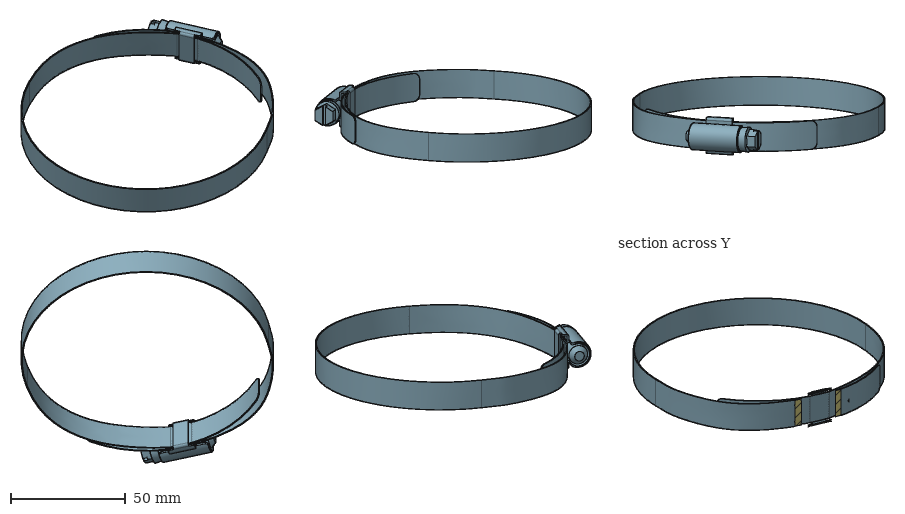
import cadquery as cq
import math


OVERALL_LENGTH_Y = 119.7

BAND_WIDTH = 12.7
BAND_THICKNESS = 0.54
RING_OUTER_DIAMETER = 109.1
RING_OUTER_RADIUS = RING_OUTER_DIAMETER / 2
RING_RADIUS = RING_OUTER_RADIUS - BAND_THICKNESS / 2
OVERLAP_RADIUS = 54.7
OVERLAP_END_ANGLE = 135.5
OVERLAP_START_ANGLE = 90
RING_START_ANGLE = 5
RING_END_ANGLE = -180
TAIL_FLAT_LENGTH = 9.6
TAIL_FLAT_Y = 53.5
TAIL_RADIUS = math.hypot(TAIL_FLAT_LENGTH / 2, TAIL_FLAT_Y)
TAIL_FLAT_HALF_ANGLE = math.degrees(math.atan2(TAIL_FLAT_LENGTH / 2, TAIL_FLAT_Y))
TAIL_FLAT_START_ANGLE = -270 + TAIL_FLAT_HALF_ANGLE
TAIL_FLAT_END_ANGLE = -270 - TAIL_FLAT_HALF_ANGLE
TAIL_END_ANGLE = -319.8
TAIL_APPROACH_SLOPE = 14
END_CORNER_RADIUS = 2.9
OUTER_BULGE = [(75, 55.2), (45, 57.1), (17, 55.2)]
INNER_DIP = [(-210, 54.8), (-231, 53.6), (-252, 52.8)]

SCREW_AXIS_Y = 59.3
HEAD_END_X = -19.0
HEX_ACROSS_FLATS = 8.1
SLOT_WIDTH = 1.4
SLOT_DEPTH = 2.0
COLLAR_FRONT_X = -15.2
COLLAR_RIM_X = -14.7
COLLAR_RADIUS = 5.5
COLLAR_BACK_RADIUS = 5.1
SHANK_RADIUS = 4.2
TIP_START_X = 11.4
TIP_END_X = 13.5
TIP_RADIUS = 2.2

HOUSING_LENGTH = 22.7
SHEET_THICKNESS = 0.8
DOME_TOP_Y = OVERALL_LENGTH_Y - RING_OUTER_RADIUS
DOME_RADIUS = DOME_TOP_Y - SCREW_AXIS_Y
DOME_EDGE_Y = 56.6
DOME_CORNER_RADIUS = 1.5
DOME_END_CHAMFER = 0.4
SADDLE_LENGTH = 12
SADDLE_TOP_Y = 56.4
SADDLE_HEIGHT_Z = 16.0
SADDLE_BEND_RADIUS = 1.1
SADDLE_SHOULDER_Y = 53.5
SADDLE_SHOULDER_RADIUS = 0.8
STRAP_LENGTH = 7.0
STRAP_BOTTOM_Y = 52.3


def polar(angle, radius):
    """X and Y of a place about the origin, its angle in degrees from +X."""
    turn = math.radians(angle)
    return (radius * math.cos(turn), radius * math.sin(turn))


def arc_edge(radius, start, end):
    """Arc about the origin, turning from start to end (degrees)."""
    places = [cq.Vector(*polar(angle, radius)) for angle in (start, (start + end) / 2, end)]
    return cq.Edge.makeThreePointArc(*places)


def flat_edge(radius, start, end):
    """Straight line between two places at the same radius."""
    return cq.Edge.makeLine(cq.Vector(*polar(start, radius)), cq.Vector(*polar(end, radius)))


def free_edge(places, start_heading, end_heading, offset):
    """Spline through (angle, radius) places, with its headings at both ends in degrees."""
    points = [cq.Vector(*polar(angle, radius + offset)) for angle, radius in places]
    tangents = [cq.Vector(*polar(heading, 1)) for heading in (start_heading, end_heading)]
    return cq.Edge.makeSpline(points, tangents=tangents)


def band_side(offset):
    """One face of the strip, at a distance from its mid-thickness, clockwise from overlap to tail."""
    bulge = [(OVERLAP_START_ANGLE, OVERLAP_RADIUS), *OUTER_BULGE, (RING_START_ANGLE, RING_RADIUS)]
    dip = [(RING_END_ANGLE, RING_RADIUS), *INNER_DIP, (TAIL_FLAT_START_ANGLE, TAIL_RADIUS)]
    return [
        arc_edge(OVERLAP_RADIUS + offset, OVERLAP_END_ANGLE, OVERLAP_START_ANGLE),
        free_edge(bulge, OVERLAP_START_ANGLE - 90, RING_START_ANGLE - 90, offset),
        arc_edge(RING_RADIUS + offset, RING_START_ANGLE, RING_END_ANGLE),
        free_edge(dip, RING_END_ANGLE - 90, TAIL_APPROACH_SLOPE, offset),
        flat_edge(TAIL_RADIUS + offset, TAIL_FLAT_START_ANGLE, TAIL_FLAT_END_ANGLE),
        arc_edge(TAIL_RADIUS + offset, TAIL_FLAT_END_ANGLE, TAIL_END_ANGLE),
    ]


def end_corners(angle, radius):
    """Selector for the corner edges of a strip end at this place."""
    x, y = polar(angle, radius)
    low = (x - BAND_THICKNESS, y - BAND_THICKNESS, -BAND_WIDTH)
    high = (x + BAND_THICKNESS, y + BAND_THICKNESS, BAND_WIDTH)
    return cq.selectors.BoxSelector(low, high, boundingbox=True)


def make_band():
    """Strip wound once around, its two ends overlapping under the screw."""
    outer = band_side(BAND_THICKNESS / 2)
    inner = band_side(-BAND_THICKNESS / 2)
    overlap_end = cq.Edge.makeLine(inner[0].startPoint(), outer[0].startPoint())
    tail_end = cq.Edge.makeLine(outer[-1].endPoint(), inner[-1].endPoint())
    outline = cq.Wire.assembleEdges([*outer, tail_end, *reversed(inner), overlap_end])
    sheet = cq.Solid.extrudeLinear(outline, [], cq.Vector(0, 0, BAND_WIDTH))
    strip = cq.Workplane(sheet.translate(cq.Vector(0, 0, -BAND_WIDTH / 2)))
    for angle, radius in ((OVERLAP_END_ANGLE, OVERLAP_RADIUS), (TAIL_END_ANGLE, TAIL_RADIUS)):
        strip = strip.edges(end_corners(angle, radius)).edges("not |Z").fillet(END_CORNER_RADIUS)
    return strip


def make_screw():
    """Slotted hexagon head, collar, plain shank and tapered tip."""
    shank_start_x = -HOUSING_LENGTH / 2
    profile = [
        (COLLAR_FRONT_X, 0),
        (COLLAR_FRONT_X, HEX_ACROSS_FLATS / 2),
        (COLLAR_RIM_X, COLLAR_RADIUS),
        (shank_start_x, COLLAR_BACK_RADIUS),
        (shank_start_x, SHANK_RADIUS),
        (TIP_START_X, SHANK_RADIUS),
        (TIP_END_X, TIP_RADIUS),
        (TIP_END_X, 0),
    ]
    body = cq.Workplane("XY").polyline(profile).close().revolve(360, (0, 0), (1, 0))
    corner_diameter = HEX_ACROSS_FLATS / math.cos(math.pi / 6)
    head = (
        cq.Workplane("YZ", origin=(HEAD_END_X, 0, 0))
        .transformed(rotate=(0, 0, 90))
        .polygon(6, corner_diameter)
        .extrude(COLLAR_RIM_X - HEAD_END_X)
    )
    slot = cq.Workplane("XY").box(2 * SLOT_DEPTH, SLOT_WIDTH, corner_diameter)
    slot = slot.translate((HEAD_END_X, 0, 0))
    return body.union(head).cut(slot).translate((0, SCREW_AXIS_Y, 0))


def saddle_block(inset):
    """Rounded block over the saddle's loop, shrunk by inset on every side."""
    height = SADDLE_TOP_Y - STRAP_BOTTOM_Y - 2 * inset
    width = SADDLE_HEIGHT_Z - 2 * inset
    return (
        cq.Workplane("XY")
        .box(HOUSING_LENGTH, height, width)
        .edges("|X")
        .fillet(SADDLE_BEND_RADIUS - inset)
        .translate((0, (SADDLE_TOP_Y + STRAP_BOTTOM_Y) / 2, 0))
    )


def tube(radius):
    """Cylinder about the screw axis, as long as the housing."""
    end_plane = cq.Workplane("YZ", origin=(-HOUSING_LENGTH / 2, SCREW_AXIS_Y, 0))
    return end_plane.circle(radius).extrude(HOUSING_LENGTH)


def slab(length, bottom_y, top_y):
    """Block as deep as the housing, centred on X and Z, between two heights in Y."""
    block = cq.Workplane("XY").box(length, top_y - bottom_y, SADDLE_HEIGHT_Z)
    return block.translate((0, (top_y + bottom_y) / 2, 0))


def make_housing():
    """Bent sheet that covers the screw and wraps around the band."""
    above_saddle = slab(HOUSING_LENGTH, SADDLE_TOP_Y - SHEET_THICKNESS, DOME_TOP_Y)
    dome_tube = tube(DOME_RADIUS).faces("|X").edges().chamfer(DOME_END_CHAMFER)
    section = dome_tube.intersect(above_saddle).union(saddle_block(0))
    section = section.cut(tube(DOME_RADIUS - SHEET_THICKNESS)).cut(saddle_block(SHEET_THICKNESS))
    dome = slab(HOUSING_LENGTH, DOME_EDGE_Y, DOME_TOP_Y)
    dome = dome.edges("|Z and <Y").fillet(DOME_CORNER_RADIUS)
    saddle = slab(SADDLE_LENGTH, SADDLE_SHOULDER_Y, SCREW_AXIS_Y)
    saddle = saddle.edges("|Z and <Y").fillet(SADDLE_SHOULDER_RADIUS)
    strap = slab(STRAP_LENGTH, STRAP_BOTTOM_Y, SCREW_AXIS_Y)
    return section.intersect(dome.union(saddle).union(strap))


band = make_band()
screw = make_screw()
housing = make_housing()

result = cq.Compound.makeCompound([band.solids().val(), screw.solids().val(), housing.solids().val()])